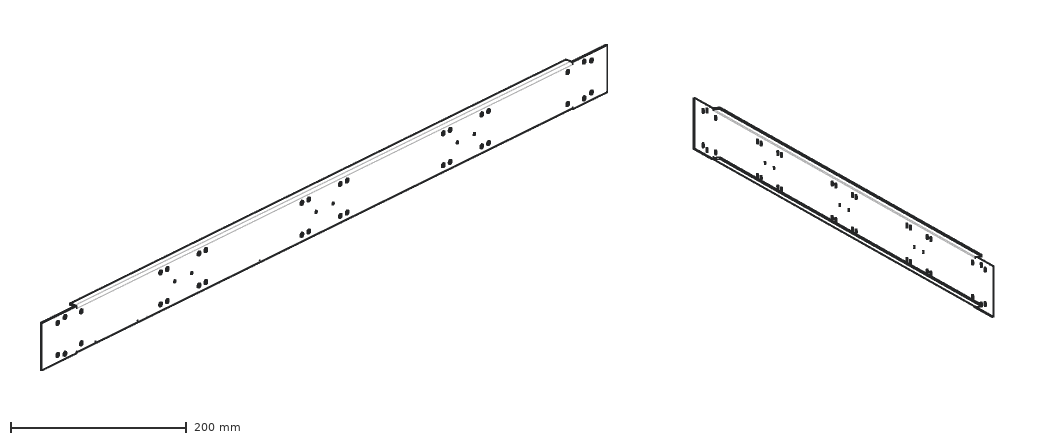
import cadquery as cq

length = 1000.0
height = 60.0
depth = 10.0
thickness = 2.0

flange_length = 877.0
inner_bend_radius = 1.0
outer_bend_radius = inner_bend_radius + thickness

tab_height = 59.0

group_pitch = 250.0
group_centres = (-group_pitch, 0.0, group_pitch)

small_diameter = 3.0
small_offset = 15.0

large_diameter = 5.2
row_height = 20.0
near_offset = 28.0
far_offset = 40.0

flange_end_hole_y = 430.0
raised_hole_y = 459.0
raised_row_height = 23.0
outermost_hole_y = length / 2 - near_offset

web_centre_x = (depth - thickness) / 2
drill_length = 3 * thickness


def make_channel():
    """C-shaped length with rounded bends, open toward -X."""
    outer = cq.Workplane("XY").box(depth, flange_length, height).edges(">X and |Y").fillet(outer_bend_radius)
    cavity = (
        cq.Workplane("XY")
        .box(depth, flange_length, height - 2 * thickness)
        .edges(">X and |Y")
        .fillet(inner_bend_radius)
        .translate((-thickness, 0, 0))
    )
    return outer.cut(cavity)


def make_end_tabs():
    """Flat parts of the web left beyond both ends of the flanges."""
    tab_length = (length - flange_length) / 2
    tab_centre_y = (length - tab_length) / 2
    return (
        cq.Workplane("XY", origin=(web_centre_x, 0, 0))
        .pushPoints([(0, -tab_centre_y), (0, tab_centre_y)])
        .box(thickness, tab_length, tab_height)
    )


def make_drills(points, diameter):
    """Cylinders along X through the web at the given (y, z) points."""
    return (
        cq.Workplane("YZ", origin=(web_centre_x, 0, 0))
        .pushPoints(points)
        .circle(diameter / 2)
        .extrude(drill_length / 2, both=True)
    )


def large_hole_points():
    """Centres (y, z) of the larger holes, mirrored about both centrelines."""
    points = []
    for row in (-1, 1):
        for side in (-1, 1):
            for offset in (near_offset, far_offset):
                points += [(centre + side * offset, row * row_height) for centre in group_centres]
            points.append((side * flange_end_hole_y, row * row_height))
            points.append((side * raised_hole_y, row * raised_row_height))
            points.append((side * outermost_hole_y, row * row_height))
    return points


small_hole_points = [(centre + side * small_offset, 0) for centre in group_centres for side in (-1, 1)]

result = (
    make_channel()
    .union(make_end_tabs())
    .cut(make_drills(small_hole_points, small_diameter))
    .cut(make_drills(large_hole_points(), large_diameter))
)